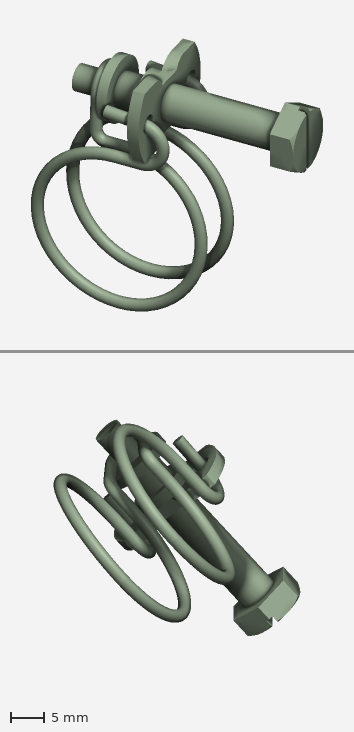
import cadquery as cq
import math


PIN_RADIUS = 2.2
PIN_START = -9.55
FLANGE_START = -3.75
FLANGE_THICKNESS = 1.65
FLANGE_RADIUS = 5.4
SHANK_RADIUS = 3.0
HEAD_START = 25.5
HEAD_END = 29.45
HEAD_ACROSS_FLATS = 9.95
HEAD_CHAMFER = 0.55
DRIVER_SLOT_WIDTH = 1.2
DRIVER_SLOT_DEPTH = 1.4

COLLAR_START = 2.0
COLLAR_RADIUS = 4.45
PLATE_FRONT = 3.95
PLATE_BACK = 5.95
PLATE_HALF_WIDTH = 10.25
PLATE_HALF_HEIGHT = 6.2
PLATE_CORNER_Y = 8.2
WAIST_HALF_HEIGHT = COLLAR_RADIUS
SHOULDER_Y = 4.65
WAIST_FRONT_Y = 1.25
WAIST_BACK_Y = 2.4
WIRE_HOLE_RADIUS = 1.63

WIRE_RADIUS = 0.99
RING_RADIUS = 13.515
RING_CENTER_Z = -21.1
LEAN = math.radians(3.15)
HOOK_STRAIGHT = 4.6
HOOK_RADIUS = 3.7
HOOK_RISE = math.radians(5.5)
FREE_END_X = -1.27
LEG_BEND_RADIUS = 1.9

LOOP_RADIUS = PIN_RADIUS + WIRE_RADIUS
LEG_X = FLANGE_START - WIRE_RADIUS
RING_BOTTOM_Z = RING_CENTER_Z - RING_RADIUS
RING_BOTTOM_Y = LOOP_RADIUS / math.cos(LEAN) - RING_BOTTOM_Z * math.tan(LEAN)
WIRE_HOLE_Y = RING_BOTTOM_Y - RING_BOTTOM_Z * math.tan(LEAN)


def x_cylinder(start, end, radius):
    return cq.Workplane("YZ", origin=(start, 0, 0)).circle(radius).extrude(end - start)


def make_head():
    length = HEAD_END - HEAD_START
    corner_radius = HEAD_ACROSS_FLATS / math.sqrt(3)
    flat_radius = HEAD_ACROSS_FLATS / 2
    head = (
        cq.Workplane("YZ", origin=(HEAD_START, 0, 0))
        .polygon(6, 2 * corner_radius)
        .extrude(length)
        .rotate((0, 0, 0), (1, 0, 0), 90)
    )
    envelope = (
        cq.Workplane("XY")
        .moveTo(HEAD_START, 0)
        .lineTo(HEAD_START, corner_radius)
        .lineTo(HEAD_END - HEAD_CHAMFER, corner_radius)
        .lineTo(HEAD_END, flat_radius)
        .lineTo(HEAD_END, 0)
        .close()
        .revolve(360, (0, 0, 0), (1, 0, 0))
    )
    slot = cq.Workplane("XY").box(2 * DRIVER_SLOT_DEPTH, DRIVER_SLOT_WIDTH, 2 * HEAD_ACROSS_FLATS)
    return head.intersect(envelope).cut(slot.translate((HEAD_END, 0, 0)))


def make_screw():
    flange_end = FLANGE_START + FLANGE_THICKNESS
    return (
        x_cylinder(PIN_START, FLANGE_START, PIN_RADIUS)
        .union(x_cylinder(FLANGE_START, flange_end, FLANGE_RADIUS))
        .union(x_cylinder(flange_end, HEAD_START, SHANK_RADIUS))
        .union(make_head())
    )


def notch_profile(x, floor_y):
    """Section of the waist notch; each shoulder is an arc tangent to the flat edge."""
    run = SHOULDER_Y - floor_y
    drop = PLATE_HALF_HEIGHT - WAIST_HALF_HEIGHT
    radius = (run**2 + drop**2) / (2 * drop)
    half_angle = math.asin(run / radius) / 2
    mid_y = SHOULDER_Y - radius * math.sin(half_angle)
    mid_z = PLATE_HALF_HEIGHT - radius * (1 - math.cos(half_angle))
    return (
        cq.Workplane("YZ", origin=(x, 0, 0))
        .moveTo(-SHOULDER_Y, PLATE_HALF_HEIGHT)
        .threePointArc((-mid_y, mid_z), (-floor_y, WAIST_HALF_HEIGHT))
        .lineTo(floor_y, WAIST_HALF_HEIGHT)
        .threePointArc((mid_y, mid_z), (SHOULDER_Y, PLATE_HALF_HEIGHT))
        .close()
        .val()
    )


def make_waist_notch():
    """Notch in the top edge of the plate, with a floor that widens towards the back face."""
    front = notch_profile(PLATE_FRONT, WAIST_FRONT_Y)
    back = notch_profile(PLATE_BACK, WAIST_BACK_Y)
    return cq.Workplane(cq.Solid.makeLoft([front, back], True))


def make_plate():
    plate = (
        cq.Workplane("YZ", origin=(PLATE_FRONT, 0, 0))
        .moveTo(-PLATE_CORNER_Y, PLATE_HALF_HEIGHT)
        .lineTo(PLATE_CORNER_Y, PLATE_HALF_HEIGHT)
        .threePointArc((PLATE_HALF_WIDTH, 0), (PLATE_CORNER_Y, -PLATE_HALF_HEIGHT))
        .lineTo(-PLATE_CORNER_Y, -PLATE_HALF_HEIGHT)
        .threePointArc((-PLATE_HALF_WIDTH, 0), (-PLATE_CORNER_Y, PLATE_HALF_HEIGHT))
        .close()
        .extrude(PLATE_BACK - PLATE_FRONT)
    )
    notch = make_waist_notch()
    plate = plate.cut(notch).cut(notch.mirror("XY"))
    for side in (-1, 1):
        hole = x_cylinder(PLATE_FRONT, PLATE_BACK, WIRE_HOLE_RADIUS)
        plate = plate.cut(hole.translate((0, side * WIRE_HOLE_Y, 0)))
    plate = plate.union(x_cylinder(COLLAR_START, PLATE_FRONT, COLLAR_RADIUS))
    return plate.cut(x_cylinder(COLLAR_START, PLATE_BACK, SHANK_RADIUS))


def strand_point(side, x, height):
    """Point on a leaning strand; side is +1 outwards or -1 inwards, height is above the ring bottom."""
    return cq.Vector(
        x,
        RING_BOTTOM_Y + side * height * math.sin(LEAN),
        RING_BOTTOM_Z + height * math.cos(LEAN),
    )


def strand_arc(side, center_x, center_height, radius, start, end):
    """Arc in the plane of a leaning strand, between two angles in radians."""
    points = [
        strand_point(side, center_x + radius * math.cos(a), center_height + radius * math.sin(a))
        for a in (start, (start + end) / 2, end)
    ]
    return cq.Edge.makeThreePointArc(*points)


def make_wire():
    ring_top = 2 * RING_RADIUS
    quarter = math.pi / 2

    hook_end = quarter - HOOK_RISE
    hook = strand_arc(1, HOOK_STRAIGHT, ring_top + HOOK_RADIUS, HOOK_RADIUS, hook_end, -quarter)
    hook_tip_x = HOOK_STRAIGHT + HOOK_RADIUS * math.cos(hook_end)
    hook_tip_height = ring_top + HOOK_RADIUS * (1 + math.sin(hook_end))
    free_end_height = hook_tip_height + (hook_tip_x - FREE_END_X) * math.tan(HOOK_RISE)
    free_end = strand_point(1, FREE_END_X, free_end_height)

    outer_half = strand_arc(1, 0, RING_RADIUS, RING_RADIUS, quarter, 3 * quarter)
    inner_half = strand_arc(-1, 0, RING_RADIUS, RING_RADIUS, -quarter, quarter)

    bend_x = LEG_X + LEG_BEND_RADIUS
    bend_height = ring_top + LEG_BEND_RADIUS
    leg_bend = strand_arc(-1, bend_x, bend_height, LEG_BEND_RADIUS, 3 * quarter, 2 * quarter)

    loop_points = [
        cq.Vector(LEG_X, LOOP_RADIUS * math.cos(a), LOOP_RADIUS * math.sin(a))
        for a in (LEAN, (LEAN + quarter) / 2, quarter)
    ]
    half_loop = cq.Edge.makeThreePointArc(*loop_points)

    path = cq.Wire.assembleEdges([
        cq.Edge.makeLine(free_end, hook.startPoint()),
        hook,
        cq.Edge.makeLine(hook.endPoint(), outer_half.startPoint()),
        outer_half,
        inner_half,
        cq.Edge.makeLine(inner_half.endPoint(), leg_bend.startPoint()),
        leg_bend,
        cq.Edge.makeLine(leg_bend.endPoint(), half_loop.startPoint()),
        half_loop,
    ])
    section_plane = cq.Plane(free_end, normal=hook.startPoint() - free_end)
    half = cq.Workplane(section_plane).circle(WIRE_RADIUS).sweep(path, transition="round")
    return half.union(half.mirror("XZ"))


screw = make_screw()
plate = make_plate()
wire = make_wire()

result = cq.Compound.makeCompound([body.solids().val() for body in (screw, plate, wire)])